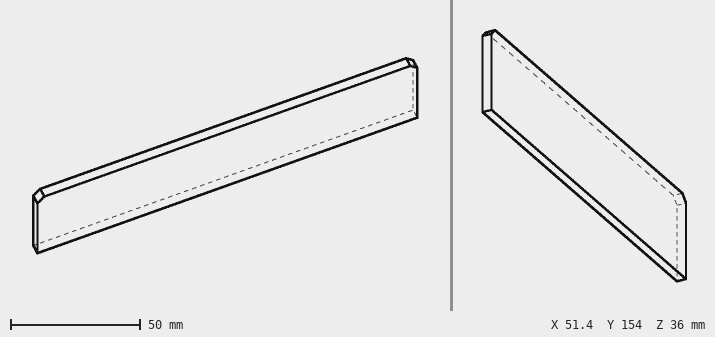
import cadquery as cq
import math

span_y = 154.0
height = 36.0
thickness = 4.0
tilt_degrees = 17.3
corner_chamfer = 3.0

tilt = math.radians(tilt_degrees)
length = (span_y - thickness * math.sin(tilt)) / math.cos(tilt)

plate = cq.Workplane("XY").box(thickness, length, height, centered=(True, True, False))

plate = plate.faces(">Z").edges("|X").chamfer(corner_chamfer)

result = plate.rotate((0, 0, 0), (0, 0, 1), -tilt_degrees)